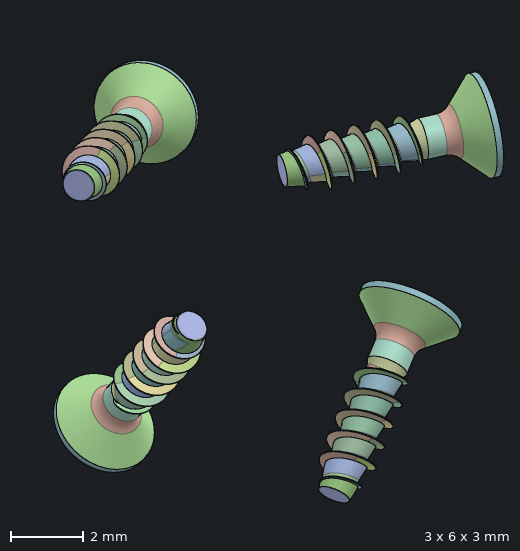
import cadquery as cq
import math

length = 6.0
head_radius = 1.5
rim_height = 0.2
shank_radius = 0.595
neck_fillet_radius = 0.6
shank_end = 1.9

full_turns = 5
full_turns_length = 3.35
pitch = full_turns_length / full_turns
root_high = 0.57
root_low = 0.485
core_radius = 0.49
core_bury = 0.07
core_inner = core_radius - core_bury
seam_gap = 0.003
tip_radius = 0.47
tip_taper_length = 0.63
tip_bevel_width = 0.025
tip_bevel_height = 0.005
runout_length = 0.29

first_crest_depth = 1.98
crest_radius = 0.805
crest_half_width = 0.015
flank_slope = 0.3
thread_start_turn = -0.25
full_crest_turn = 0.9
fade_turn = 4.6
thread_end_turn = 6.0
root_start_turn = thread_start_turn - 1.1
root_end_turn = thread_end_turn + 0.3
crest_start_radius = 0.66
crest_end_radius = 0.445
segments_per_turn = 2
steps_per_segment = 10

rib_half_width = crest_half_width + flank_slope * (crest_radius - root_low)
root_high_offset = crest_half_width + flank_slope * (crest_radius - root_high)
root_low_offset = pitch - rib_half_width - seam_gap
root_slope = (root_high - root_low) / (root_low_offset - root_high_offset)
root_start_offset = 0.025
root_start_radius = root_high + root_slope * (root_high_offset - root_start_offset)


def revolve_outline(outline):
    return outline.close().revolve(360, (0, 0, 0), (0, 1, 0))


def make_head_and_shank():
    """Countersunk head with a 45 degree cone, rounded neck and plain shank."""
    half_root = math.sqrt(0.5)
    neck_start_radius = shank_radius + neck_fillet_radius * (1 - half_root)
    neck_start = rim_height + head_radius - neck_start_radius
    neck_end = neck_start + neck_fillet_radius * half_root
    mid_angle = math.pi / 8
    neck_mid = (
        shank_radius + neck_fillet_radius * (1 - math.cos(mid_angle)),
        -neck_end + neck_fillet_radius * math.sin(mid_angle),
    )
    outline = (
        cq.Workplane("XY")
        .lineTo(head_radius, 0)
        .lineTo(head_radius, -rim_height)
        .lineTo(neck_start_radius, -neck_start)
        .threePointArc(neck_mid, (shank_radius, -neck_end))
        .lineTo(shank_radius, -shank_end)
        .lineTo(0, -shank_end)
    )
    return revolve_outline(outline)


def make_core():
    """Plain core under the thread, joined to the shank by a cone."""
    outline = (
        cq.Workplane("XY")
        .moveTo(0, -shank_end)
        .lineTo(shank_radius, -shank_end)
        .lineTo(core_radius, -shank_end - runout_length)
        .lineTo(core_radius, -length)
        .lineTo(0, -length)
    )
    return revolve_outline(outline)


def make_core_limit():
    """Envelope that keeps the root between the shank and the tip cone."""
    outline = (
        cq.Workplane("XY")
        .moveTo(0, -shank_end)
        .lineTo(shank_radius, -shank_end)
        .lineTo(root_high, tip_taper_length - length)
        .lineTo(tip_radius, tip_bevel_height - length)
        .lineTo(tip_radius - tip_bevel_width, -length)
        .lineTo(0, -length)
    )
    return revolve_outline(outline)


def make_thread_limit():
    """Envelope that cuts the rib flush with the shank end and the tip face."""
    return cq.Workplane("XZ", origin=(0, -shank_end, 0)).circle(head_radius).extrude(length - shank_end)


def helix_point(turn, radius, offset):
    angle = 2 * math.pi * turn
    depth = first_crest_depth + pitch * turn + offset
    return cq.Vector(radius * math.sin(angle), -depth, -radius * math.cos(angle))


def helical_solid(profile, start_turn, end_turn):
    """Solid whose section at each turn is the polygon profile(turn) of (radius, offset)."""
    segment_count = round((end_turn - start_turn) * segments_per_turn)
    segment_turns = (end_turn - start_turn) / segment_count
    faces = []
    for segment in range(segment_count):
        first_turn = start_turn + segment * segment_turns
        turns = [first_turn + segment_turns * i / steps_per_segment for i in range(steps_per_segment + 1)]
        sections = [[helix_point(turn, *corner) for corner in profile(turn)] for turn in turns]
        edges = [cq.Edge.makeSpline(list(path)) for path in zip(*sections)]
        faces += [cq.Face.makeRuledSurface(edges[i - 1], edges[i]) for i in range(len(edges))]
    for turn in (start_turn, end_turn):
        corners = [helix_point(turn, *corner) for corner in profile(turn)]
        faces.append(cq.Face.makeFromWires(cq.Wire.makePolygon(corners, close=True)))
    shell = cq.Shell.makeShell(faces)
    return cq.Workplane(cq.Solid.makeSolid(shell).fix())


def root_profile(turn):
    return [
        (core_inner, root_start_offset),
        (root_start_radius, root_start_offset),
        (root_low, root_low_offset),
        (core_inner, root_low_offset),
    ]


def crest_at(turn):
    """Crest radius: rises at the shank, stays constant, then fades at the tip."""
    rise = (turn - thread_start_turn) / (full_crest_turn - thread_start_turn)
    fade = (thread_end_turn - turn) / (thread_end_turn - fade_turn)
    rising = crest_start_radius + (crest_radius - crest_start_radius) * rise
    fading = crest_end_radius + (crest_radius - crest_end_radius) * fade
    return min(rising, crest_radius, fading)


def rib_profile(turn):
    crest = crest_at(turn)
    base_half_width = crest_half_width + flank_slope * (crest - core_inner)
    return [
        (core_inner, -base_half_width),
        (crest, -crest_half_width),
        (crest, crest_half_width),
        (core_inner, base_half_width),
    ]


root_band = helical_solid(root_profile, root_start_turn, root_end_turn)
core = make_core().union(root_band).intersect(make_core_limit())
rib = helical_solid(rib_profile, thread_start_turn, thread_end_turn).intersect(make_thread_limit())
result = make_head_and_shank().union(core.union(rib))